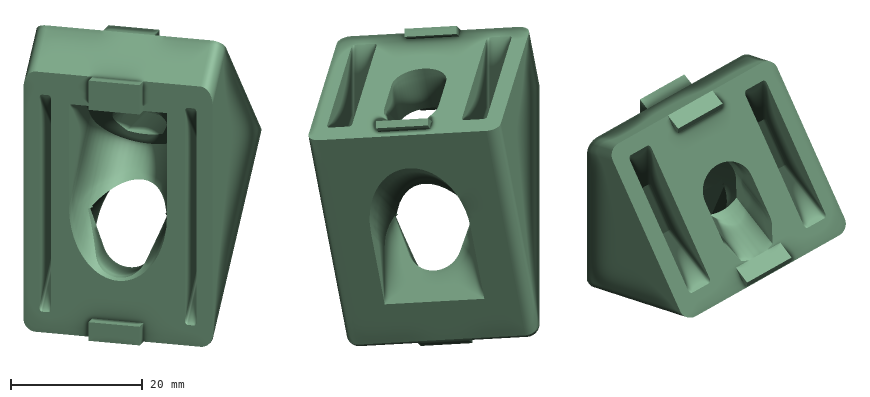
import cadquery as cq
import math

WIDTH = 30.0
HEIGHT = 47.1
BOTTOM_FLAT = 1.05
APEX_Y = 5.65
CORNER_RADIUS = 1.95
FRONT_TOP_Z = HEIGHT - APEX_Y
BACK_SUM = APEX_Y + HEIGHT
BACK_CORNER_Y = (BACK_SUM + BOTTOM_FLAT) / 2
BACK_CORNER_Z = BACK_SUM - BACK_CORNER_Y

TAB_WIDTH = 8.1
FRONT_TAB_DEPTH = 2.02
LOWER_TAB_HEIGHT = 2.95
UPPER_TAB_BOTTOM_Z = 36.75
TOP_TAB_END_Y = 8.47
TOP_TAB_THICKNESS = 1.25
BACK_TAB_END_Y = 27.4
BACK_TAB_BOTTOM_Z = 26.9
BACK_TAB_TOP_Z = 28.4
BACK_TAB_TAPER = 0.2

SLOT_OUTER_X = 12.48
SLOT_FILLET = 0.45
FRONT_SLOT_WIDTH = 1.9
FRONT_SLOT_BOTTOM_Z = 3.3
FRONT_SLOT_TOP_Z = 37.85
BACK_SLOT_WIDTH = 3.9
BACK_SLOT_NEAR_Y = 7.5
BACK_SLOT_FAR_Y = 24.4
BACK_SLOT_FLOOR_END_Y = 13.15

POCKET_RADIUS = 7.75
POCKET_AXIS_Z = 20.3
POCKET_TOP_Z = 36.7
POCKET_FLOOR_SUM = 42.85

SCREW_RADIUS = 4.25
TROUGH_HALF_WIDTH = 2.82
TROUGH_EDGE_Z = 28.7
TROUGH_FLOOR_Z = 28.25
TROUGH_TOP_HALF_WIDTH = 4.0
TROUGH_TOP_Z = 30.6
LOWER_AXIS_Z = 13.95
LOWER_FLOOR_Y = 5.9
LOWER_HOLE_TAPER = math.radians(20)
LOWER_HOLE_TOP_Z = 18.75

OVERRUN = 4.7
DIAGONAL = cq.Vector(0, 1, 1).normalized()


def side_prism(points, width, center_x=0.0):
    """Extrude a (y, z) outline along X, centred on center_x."""
    outline = cq.Workplane("YZ", origin=(center_x, 0, 0)).polyline(points).close()
    return outline.extrude(width / 2, both=True)


def make_wedge():
    outline = [
        (0, 0), (BOTTOM_FLAT, 0),
        (BACK_CORNER_Y, BACK_CORNER_Z), (APEX_Y, HEIGHT), (0, FRONT_TOP_Z),
    ]
    wedge = side_prism(outline, WIDTH)
    side = WIDTH / 2
    lower_mid = ((BOTTOM_FLAT + BACK_CORNER_Y) / 2, BACK_CORNER_Z / 2)
    upper_mid = (APEX_Y / 2, (FRONT_TOP_Z + HEIGHT) / 2)
    flat_mid = (BOTTOM_FLAT / 2, 0)
    nearest = cq.selectors.NearestToPointSelector
    edges = wedge.newObject([])
    for x in (-side, side):
        for mid in (lower_mid, upper_mid, flat_mid):
            edges = edges.add(wedge.edges(nearest((x, *mid))))
    return edges.fillet(CORNER_RADIUS)


def make_tabs():
    front_root = 0.45
    lower = [
        (-FRONT_TAB_DEPTH, 0), (front_root, 0),
        (front_root, LOWER_TAB_HEIGHT), (-FRONT_TAB_DEPTH, LOWER_TAB_HEIGHT),
    ]
    upper = [
        (-FRONT_TAB_DEPTH, UPPER_TAB_BOTTOM_Z), (0, UPPER_TAB_BOTTOM_Z),
        (0, FRONT_TOP_Z), (-FRONT_TAB_DEPTH, FRONT_TOP_Z),
    ]
    top_bottom_z = HEIGHT - TOP_TAB_THICKNESS
    top = [
        (APEX_Y, HEIGHT), (TOP_TAB_END_Y, HEIGHT),
        (TOP_TAB_END_Y, top_bottom_z), (BACK_SUM - top_bottom_z, top_bottom_z), (APEX_Y, top_bottom_z),
    ]
    back = [
        (BACK_SUM - BACK_TAB_TOP_Z, BACK_TAB_TOP_Z),
        (BACK_TAB_END_Y, BACK_TAB_TOP_Z - BACK_TAB_TAPER),
        (BACK_TAB_END_Y, BACK_TAB_BOTTOM_Z + BACK_TAB_TAPER),
        (BACK_SUM - BACK_TAB_BOTTOM_Z, BACK_TAB_BOTTOM_Z),
        (BACK_SUM - BACK_TAB_TOP_Z, BACK_TAB_BOTTOM_Z),
    ]
    return [side_prism(points, TAB_WIDTH) for points in (lower, upper, top, back)]


def make_slots():
    """Triangular front slots and L-floored back slots, rounded along their side walls."""
    front = [
        (-OVERRUN, FRONT_SLOT_BOTTOM_Z - OVERRUN),
        ((FRONT_SLOT_TOP_Z - FRONT_SLOT_BOTTOM_Z) / 2, (FRONT_SLOT_TOP_Z + FRONT_SLOT_BOTTOM_Z) / 2),
        (-OVERRUN, FRONT_SLOT_TOP_Z + OVERRUN),
    ]
    floor_z = BACK_SUM - BACK_SLOT_FAR_Y
    back = [
        (BACK_SLOT_NEAR_Y, BACK_SUM - BACK_SLOT_NEAR_Y + OVERRUN),
        (BACK_SLOT_NEAR_Y, floor_z + BACK_SLOT_FLOOR_END_Y - BACK_SLOT_NEAR_Y),
        (BACK_SLOT_FLOOR_END_Y, floor_z),
        (BACK_SLOT_FAR_Y + OVERRUN, floor_z),
    ]
    slots = []
    for points, width in ((front, FRONT_SLOT_WIDTH), (back, BACK_SLOT_WIDTH)):
        center_x = SLOT_OUTER_X - width / 2
        for x in (-center_x, center_x):
            slots.append(side_prism(points, width, x).faces("<X or >X").edges().fillet(SLOT_FILLET))
    return slots


def make_pocket():
    """Round-bottomed 45 degree bore, open upward to a flat ceiling and ended by a flat floor."""
    floor_y = (POCKET_FLOOR_SUM - POCKET_AXIS_Z) / 2
    reach = (floor_y + 2 * OVERRUN) * math.sqrt(2)
    start = cq.Vector(0, floor_y, POCKET_AXIS_Z + floor_y) - DIAGONAL * reach
    bore = cq.Workplane(cq.Solid.makeCylinder(POCKET_RADIUS, reach, start, DIAGONAL))
    ceiling_y = POCKET_FLOOR_SUM - POCKET_TOP_Z
    opening = side_prism(
        [
            (0, POCKET_AXIS_Z), (floor_y, POCKET_AXIS_Z + floor_y),
            (ceiling_y, POCKET_TOP_Z), (0, POCKET_TOP_Z),
        ],
        2 * POCKET_RADIUS,
    )
    below_ceiling = cq.Workplane("XY").box(WIDTH, 2 * HEIGHT, POCKET_TOP_Z, centered=(True, True, False))
    return bore.intersect(below_ceiling).union(opening)


def make_upper_passage():
    """Screw passage that fans out from square-on to the back slope down to horizontal."""
    floor_y = (POCKET_FLOOR_SUM - POCKET_AXIS_Z) / 2
    floor_z = POCKET_AXIS_Z + floor_y
    depth = (BACK_SUM - POCKET_FLOOR_SUM) / 2 + OVERRUN
    center = cq.Vector(0, floor_y, floor_z)
    straight = cq.Workplane(
        cq.Solid.makeCylinder(SCREW_RADIUS, depth * math.sqrt(2), center, DIAGONAL)
    )
    half_height = SCREW_RADIUS / math.sqrt(2)
    level = cq.Workplane("XZ", origin=(0, floor_y, floor_z)).ellipse(SCREW_RADIUS, half_height)
    level = level.extrude(-2 * depth)
    between = side_prism(
        [(floor_y, floor_z), (floor_y + depth, floor_z + depth), (floor_y + 2 * depth, floor_z)],
        2 * SCREW_RADIUS,
    )
    trough = (
        cq.Workplane("XZ", origin=(0, floor_y - OVERRUN, 0))
        .moveTo(-TROUGH_TOP_HALF_WIDTH, TROUGH_TOP_Z)
        .lineTo(-TROUGH_HALF_WIDTH, TROUGH_EDGE_Z)
        .threePointArc((0, TROUGH_FLOOR_Z), (TROUGH_HALF_WIDTH, TROUGH_EDGE_Z))
        .lineTo(TROUGH_TOP_HALF_WIDTH, TROUGH_TOP_Z)
        .close()
        .extrude(-(2 * depth + OVERRUN))
    )
    behind_floor = side_prism(
        [(POCKET_FLOOR_SUM, 0), (POCKET_FLOOR_SUM, POCKET_FLOOR_SUM), (0, POCKET_FLOOR_SUM)], WIDTH
    )
    return straight.union(level).union(between).union(trough).intersect(behind_floor)


def make_lower_pocket():
    """Horizontal bore with straight sides below it, open through the lower slope."""
    length = BACK_CORNER_Y - LOWER_FLOOR_Y
    bore = cq.Workplane("XZ", origin=(0, LOWER_FLOOR_Y, LOWER_AXIS_Z)).circle(POCKET_RADIUS).extrude(-length)
    opening = cq.Workplane("XY", origin=(0, LOWER_FLOOR_Y, 0)).box(
        2 * POCKET_RADIUS, length, LOWER_AXIS_Z, centered=(True, False, False)
    )
    return bore.union(opening)


def make_lower_hole():
    """Upward-widening hole joining the two pockets, with sides tangent to its round bottom."""
    start_y = -OVERRUN / 2
    tangent_x = SCREW_RADIUS * math.cos(LOWER_HOLE_TAPER)
    tangent_z = LOWER_AXIS_Z - SCREW_RADIUS * math.sin(LOWER_HOLE_TAPER)
    corner_x = tangent_x + (LOWER_HOLE_TOP_Z - tangent_z) * math.tan(LOWER_HOLE_TAPER)
    return (
        cq.Workplane("XZ", origin=(0, start_y, 0))
        .moveTo(-corner_x, LOWER_HOLE_TOP_Z)
        .lineTo(corner_x, LOWER_HOLE_TOP_Z)
        .lineTo(tangent_x, tangent_z)
        .threePointArc((0, LOWER_AXIS_Z - SCREW_RADIUS), (-tangent_x, tangent_z))
        .close()
        .extrude(-(LOWER_FLOOR_Y - start_y))
    )


result = make_wedge()
cutters = make_slots() + [make_pocket(), make_upper_passage(), make_lower_pocket(), make_lower_hole()]
for cutter in cutters:
    result = result.cut(cutter)
for tab in make_tabs():
    result = result.union(tab)